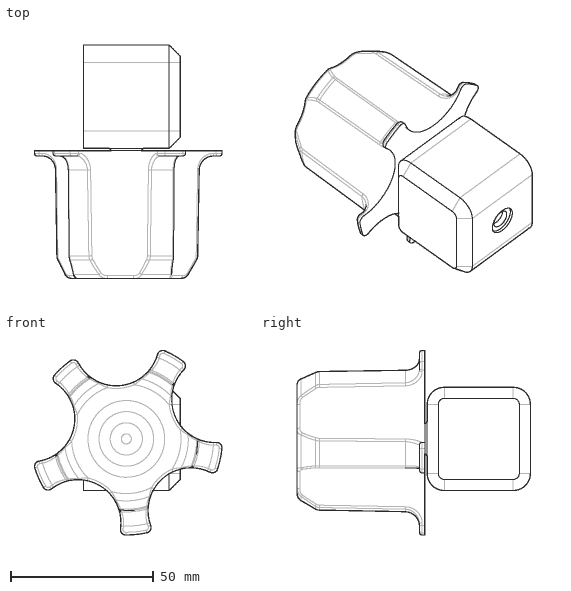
import cadquery as cq
import math


KNOB_LENGTH = 45.05
LOBE_COUNT = 5
FIRST_LOBE_ANGLE = -12.0
FLANGE_RADIUS = 33.9
FLANGE_THICKNESS = 2.0
FLANGE_BLEND_RADIUS = 5.0
GRIP_BACK_RADIUS = 25.8
NOSE_LENGTH = 7.2
NOSE_BACK_RADIUS = 25.15
NOSE_ANGLE = 30.0
NOSE_BLEND_RADIUS = 3.0
SCALLOP_RADIUS = 15.05
WAIST_RADIUS = 18.9
TIP_CORNER_RADIUS = 2.0
EDGE_RADIUS = 1.0

RECESS_MOUTH_RADIUS = 10.1
RECESS_FLOOR_RADIUS = 5.2
RECESS_DEPTH = 33.7
RECESS_BLEND_RADIUS = 3.95

HOUSING_SIDE = 36.4
HOUSING_WALL = 3.05
HOUSING_CORNER_RADIUS = 6.1
HOUSING_TUBE_LENGTH = 30.2
HOUSING_CAP_LENGTH = 3.95
BOLT_HOLE_RADIUS = 3.2
SPOTFACE_RADIUS = 5.0
SPOTFACE_DEPTH = 1.0
BOSS_BASE_RADIUS = 6.0
BOSS_TIP_RADIUS = 5.3
BOSS_HEIGHT = 0.7

EXTRA = 0.8
SELECT_MARGIN = 0.1


def ring_edges(radius, y):
    """Selector for the circular edges about the Y axis at height y, no larger than radius."""
    reach = radius + SELECT_MARGIN
    return cq.selectors.BoxSelector(
        (-reach, y - SELECT_MARGIN, -reach),
        (reach, y + SELECT_MARGIN, reach),
        boundingbox=True,
    )


def knob_blank():
    """Revolved outer form: flange, tapered grip and sloping nose."""
    nose_y = NOSE_LENGTH - KNOB_LENGTH
    face_radius = NOSE_BACK_RADIUS - NOSE_LENGTH * math.tan(math.radians(NOSE_ANGLE))
    profile = (
        cq.Workplane("XY")
        .polyline([
            (0, 0),
            (FLANGE_RADIUS, 0),
            (FLANGE_RADIUS, -FLANGE_THICKNESS),
            (GRIP_BACK_RADIUS, -FLANGE_THICKNESS),
            (NOSE_BACK_RADIUS, nose_y),
            (face_radius, -KNOB_LENGTH),
            (0, -KNOB_LENGTH),
        ])
        .close()
    )
    blank = profile.revolve(360, (0, 0, 0), (0, 1, 0))
    blank = blank.edges(ring_edges(GRIP_BACK_RADIUS, -FLANGE_THICKNESS)).fillet(FLANGE_BLEND_RADIUS)
    blank = blank.edges(ring_edges(NOSE_BACK_RADIUS, nose_y)).fillet(NOSE_BLEND_RADIUS)
    return blank.edges(ring_edges(face_radius, -KNOB_LENGTH)).fillet(NOSE_BLEND_RADIUS)


def cut_scallops(knob):
    """Cut the round valleys that leave the lobes standing."""
    pitch = 360 / LOBE_COUNT
    scallop = (
        cq.Workplane("XZ", origin=(0, EXTRA, 0))
        .center(WAIST_RADIUS + SCALLOP_RADIUS, 0)
        .circle(SCALLOP_RADIUS)
        .extrude(KNOB_LENGTH + 2 * EXTRA)
    )
    for index in range(LOBE_COUNT):
        angle = FIRST_LOBE_ANGLE + (index + 0.5) * pitch
        knob = knob.cut(scallop.rotate((0, 0, 0), (0, 1, 0), -angle))
    return knob


def round_lobes(knob):
    """Round the corners of the flange tips, then the whole edge chain in front of the back plane."""
    flange_zone = cq.selectors.BoxSelector(
        (-FLANGE_RADIUS, -FLANGE_THICKNESS, -FLANGE_RADIUS),
        (FLANGE_RADIUS, 0, FLANGE_RADIUS),
    )
    knob = knob.edges("|Y").edges(flange_zone).fillet(TIP_CORNER_RADIUS)
    chain_start = knob.faces("<Y").edges().vals()[0]
    return knob.newObject([chain_start]).fillet(EDGE_RADIUS)


def cut_recess(knob):
    """Tapered blind recess with a rounded lip and a dished floor."""
    front_y = -KNOB_LENGTH
    cutter = (
        cq.Workplane("XZ", origin=(0, front_y, 0))
        .circle(RECESS_MOUTH_RADIUS)
        .workplane(offset=-RECESS_DEPTH)
        .circle(RECESS_FLOOR_RADIUS)
        .loft(combine=True)
        .faces(">Y").edges().fillet(RECESS_BLEND_RADIUS)
    )
    lip_edge = ring_edges(RECESS_MOUTH_RADIUS, front_y)
    return knob.cut(cutter).edges(lip_edge).fillet(RECESS_BLEND_RADIUS)


def make_knob():
    """Lobed knob with a flange at its back and a recess in its front."""
    return cut_recess(round_lobes(cut_scallops(knob_blank())))


def make_housing():
    """Square tube, open at -X and closed by a chamfered cap at +X, with a boss towards the knob."""
    centre_y = BOSS_HEIGHT + HOUSING_SIDE / 2
    open_end_x = -HOUSING_TUBE_LENGTH / 2
    inner_side = HOUSING_SIDE - 2 * HOUSING_WALL
    tube_plane = cq.Workplane("YZ", origin=(open_end_x, centre_y, 0))
    housing = (
        tube_plane.rect(HOUSING_SIDE, HOUSING_SIDE)
        .extrude(HOUSING_TUBE_LENGTH + HOUSING_CAP_LENGTH)
        .edges("|X").fillet(HOUSING_CORNER_RADIUS)
        .faces(">X").edges().chamfer(HOUSING_CAP_LENGTH)
    )
    cavity = (
        tube_plane.rect(inner_side, inner_side)
        .extrude(HOUSING_TUBE_LENGTH)
        .edges("|X").fillet(HOUSING_CORNER_RADIUS - HOUSING_WALL)
    )
    bolt_hole = (
        cq.Workplane("XZ", origin=(0, centre_y, 0))
        .circle(BOLT_HOLE_RADIUS)
        .extrude(-HOUSING_SIDE)
    )
    spotface = (
        cq.Workplane("XZ", origin=(0, BOSS_HEIGHT + HOUSING_SIDE, 0))
        .circle(SPOTFACE_RADIUS)
        .extrude(SPOTFACE_DEPTH)
    )
    boss = (
        cq.Workplane("XZ")
        .circle(BOSS_TIP_RADIUS)
        .workplane(offset=-BOSS_HEIGHT)
        .circle(BOSS_BASE_RADIUS)
        .loft(combine=True)
    )
    return housing.cut(cavity).cut(bolt_hole).cut(spotface).union(boss)


knob = make_knob()
housing = make_housing()
result = cq.Compound.makeCompound([knob.solids().val(), housing.solids().val()])